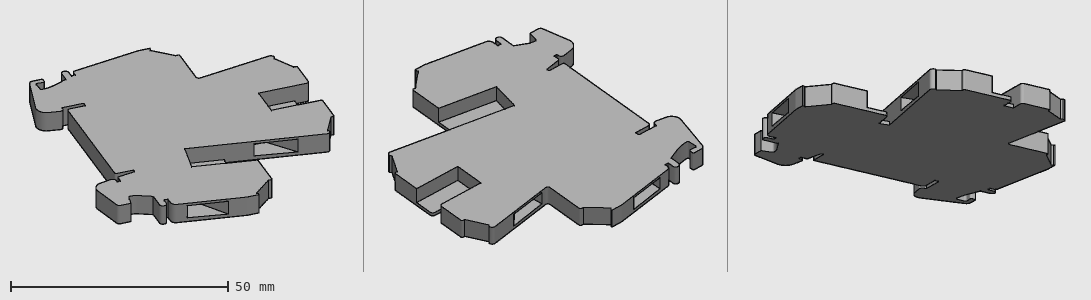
import cadquery as cq
import math


thickness = 5.0
height = 62.7
body_half_width = 34.5
wall_lean = math.tan(math.radians(10))

body_top_y = 39.3
body_top_half_width = 29.4
body_step_y = 38.35
bevel_end_x = 33.7
bevel_end_y = 33.75
lip_width = 0.4
lip_y = 34.1
lean_start_y = 31.2
base_y = 13.8

head_mid_x = -3.05
head_top_half_width = 11.8
head_step_y = 61.9
head_bevel_end = 17.0
head_bevel_end_y = 59.0
head_lip_y = 59.35
head_half_width = 18.3
head_half_width_y = 57.95

notch_width = 2.55
notch_depth = 3.65
top_notch_x = -7.05
side_notch_y = 34.65
pocket_width = 8.1
top_pocket_y = 50.15
side_pocket_extra = 9.3
pocket_floor_z = 0.9

finger_low_y = 11.1
finger_high_y = 12.8
finger_radius = 0.8
rail_face_y = 6.55
toe_y = 5.7
heel_corner_y = -0.55
heel_radius = 2.5

entry_ceiling_z = 4.35
entry_floor_z = 0.9
entry_floor_slope = 0.1
entry_ceiling_slope = 0.02
entry_overshoot = 0.7


def body_wall_x(y):
    """Half width of the lower body where its outer walls lean."""
    return body_half_width - (lean_start_y - y) * wall_lean


def head_wall(y):
    """Half width of the head, from its own middle, along its leaning walls."""
    return head_half_width - (head_half_width_y - y) * wall_lean


def reach_body_top(point):
    """Where a line through the point, parallel to the head's right wall, meets the body's top."""
    return (point.x + (body_top_y - point.y) * wall_lean, body_top_y)


def rounded_plate(corners):
    """Plate of full thickness; each corner is (x, y, radius), radius 0 leaving it sharp."""
    count = len(corners)
    path = None
    for i, (x, y, radius) in enumerate(corners):
        corner = cq.Vector(x, y)
        if radius == 0:
            stops = [corner]
        else:
            back = (cq.Vector(*corners[i - 1][:2]) - corner).normalized()
            ahead = (cq.Vector(*corners[(i + 1) % count][:2]) - corner).normalized()
            half_angle = back.getAngle(ahead) / 2
            setback = radius / math.tan(half_angle)
            middle_gap = radius / math.sin(half_angle) - radius
            middle = corner + (back + ahead).normalized() * middle_gap
            stops = [corner + back * setback, middle, corner + ahead * setback]
        start = stops[0].toTuple()[:2]
        path = cq.Workplane("XY").moveTo(*start) if path is None else path.lineTo(*start)
        if radius:
            path = path.threePointArc(stops[1].toTuple()[:2], stops[2].toTuple()[:2])
    return path.close().extrude(thickness)


def mirrored(corners):
    """The same corners on the other side of X = 0, in reverse order."""
    return [(-x, y, radius) for x, y, radius in reversed(corners)]


def moved(corners, dx):
    """The same corners shifted along X."""
    return [(x + dx, y, radius) for x, y, radius in corners]


head_shoulder = [
    (head_top_half_width, height, 0.35),
    (head_top_half_width, head_step_y, 0),
    (head_bevel_end, head_bevel_end_y, 0),
    (head_bevel_end + lip_width, head_lip_y, 0),
    (head_wall(head_lip_y), head_lip_y, 0.9),
]

wing = [
    (body_top_half_width, body_top_y, 0.35),
    (body_top_half_width, body_step_y, 0),
    (bevel_end_x, bevel_end_y, 0),
    (bevel_end_x + lip_width, lip_y, 0),
    (body_half_width, lip_y, 0),
    (body_half_width, lean_start_y, 0),
]

top_notch = [
    (top_notch_x, height, 0.7),
    (top_notch_x, height - notch_depth, 0),
    (top_notch_x + notch_width, height - notch_depth, 0),
    (top_notch_x + notch_width, height, 0.8),
]

lean_angle = math.atan(wall_lean)
across = cq.Vector(math.cos(lean_angle), -math.sin(lean_angle))
along = cq.Vector(math.sin(lean_angle), math.cos(lean_angle))
side_notch_start = cq.Vector(head_mid_x + head_wall(side_notch_y), side_notch_y)
side_notch_end = side_notch_start + across * notch_width
side_notch = [
    (side_notch_start.x, side_notch_start.y, 0),
    (side_notch_end.x, side_notch_end.y, 0),
    (*reach_body_top(side_notch_end), 0.8),
]

right_foot = [
    (body_wall_x(base_y), base_y, 1.4),
    (28.7, base_y, 0),
    (28.7, finger_high_y, 0),
    (31.1, finger_high_y, finger_radius),
    (31.1, finger_low_y, finger_radius),
    (26.35, finger_low_y, 0),
    (24.35, 7.2, 3.45),
    (24.35, 5.8, 0.55),
    (27.3, 5.25, 0),
    (27.3, 2.1, 0.8),
    (17.0, heel_corner_y, heel_radius),
    (15.7, toe_y, 0.9),
    (17.3, toe_y, 0),
    (17.3, rail_face_y, 0),
    (15.5, rail_face_y, 0.4),
    (14.7, finger_low_y, 0.35),
    (13.95, finger_low_y, 0.2),
    (13.95, rail_face_y, 0.35),
]

left_foot = [
    (-16.4, rail_face_y, 0.6),
    (-16.4, finger_low_y, 0),
    (-17.5, finger_low_y, 0.35),
    (-17.5, toe_y, 0),
    (-16.0, toe_y, 0.9),
    (-17.2, heel_corner_y, heel_radius),
    (-30.9, 2.8, 1.1),
    (-30.9, 6.15, 0.35),
    (-29.4, 6.15, 0.4),
    (-29.6, 3.85, 0.5),
    (-26.6, 4.1, 0.4),
    (-26.85, 6.55, 11.7),
    (-28.85, finger_low_y, 0),
    (-32.3, finger_low_y, finger_radius),
    (-32.3, finger_high_y, finger_radius),
    (-29.8, finger_high_y, 0),
    (-29.8, base_y, 0),
    (-body_wall_x(base_y), base_y, 0.7),
]

head_foot = [(head_mid_x - head_wall(body_top_y), body_top_y, 0.7)]

housing = rounded_plate(
    top_notch
    + moved(head_shoulder, head_mid_x)
    + side_notch
    + wing
    + right_foot
    + left_foot
    + mirrored(wing)
    + head_foot
    + moved(mirrored(head_shoulder), head_mid_x)
)


def pocket(corners):
    """Cutter from the pocket floor up through the top face."""
    return cq.Workplane("XY", origin=(0, 0, pocket_floor_z)).polyline(corners).close().extrude(thickness)


top_pocket = pocket([
    (top_notch_x, top_pocket_y),
    (top_notch_x + pocket_width, top_pocket_y),
    (top_notch_x + pocket_width, height),
    (top_notch_x, height),
])

side_pocket_start = side_notch_start - along * side_pocket_extra
side_pocket_end = side_pocket_start + across * pocket_width
side_pocket = pocket([
    (side_pocket_start.x, side_pocket_start.y),
    (side_pocket_end.x, side_pocket_end.y),
    reach_body_top(side_pocket_end),
    reach_body_top(side_notch_start),
])


def wire_entry(mouth_x, mouth_top_y, mouth_low_y, back_depth, back_top_y, back_low_y):
    """Funnel into a left wall; mouth_x is the wall at the mouth's upper end.

    Its back is square to X and its floor rises toward the back
    while its ceiling drops slightly.
    """
    back_x = mouth_x + back_depth
    mouth_low_x = mouth_x + (mouth_top_y - mouth_low_y) * wall_lean
    outside_x = mouth_x - entry_overshoot
    plan = (
        cq.Workplane("XY")
        .polyline([
            (mouth_x, mouth_top_y),
            (back_x, back_top_y),
            (back_x, back_low_y),
            (mouth_low_x, mouth_low_y),
            (outside_x, mouth_low_y),
            (outside_x, mouth_top_y),
        ])
        .close()
        .extrude(thickness)
    )
    side = (
        cq.Workplane("XZ", origin=(0, mouth_top_y, 0))
        .polyline([
            (outside_x, entry_floor_z - entry_overshoot * entry_floor_slope),
            (back_x, entry_floor_z + back_depth * entry_floor_slope),
            (back_x, entry_ceiling_z - back_depth * entry_ceiling_slope),
            (outside_x, entry_ceiling_z + entry_overshoot * entry_ceiling_slope),
        ])
        .close()
        .extrude(mouth_top_y - mouth_low_y)
    )
    return plan.intersect(side)


upper_mouth_y = 51.6
upper_entry = wire_entry(
    mouth_x=head_mid_x - head_wall(upper_mouth_y),
    mouth_top_y=upper_mouth_y,
    mouth_low_y=41.5,
    back_depth=5.8,
    back_top_y=45.95,
    back_low_y=42.3,
)

lower_mouth_y = 26.8
lower_entry = wire_entry(
    mouth_x=-body_wall_x(lower_mouth_y),
    mouth_top_y=lower_mouth_y,
    mouth_low_y=17.3,
    back_depth=6.3,
    back_top_y=21.5,
    back_low_y=17.8,
)

result = housing.cut(top_pocket).cut(side_pocket)
for entry, middle_x in ((upper_entry, head_mid_x), (lower_entry, 0)):
    result = result.cut(entry).cut(entry.mirror("YZ", (middle_x, 0, 0)))